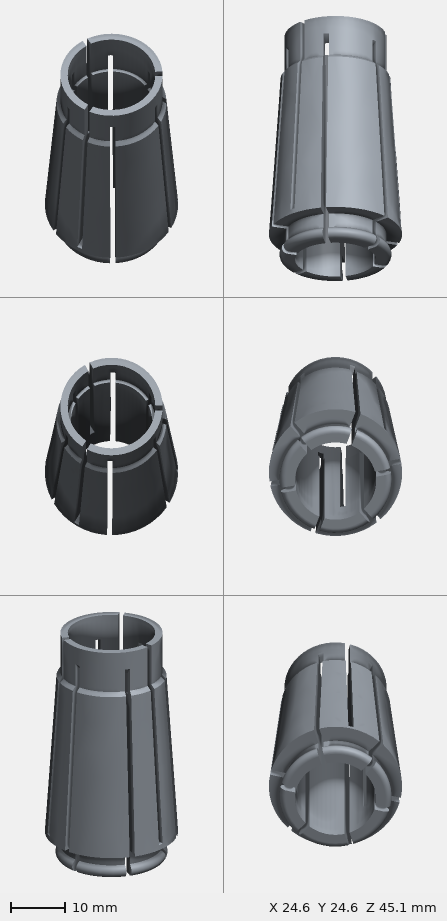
import cadquery as cq
import math

LENGTH = 45.1
NECK_RADIUS = 9.43
FLARE_DIAMETER = 24.6
FLARE_RADIUS = FLARE_DIAMETER / 2
FLARE_BOTTOM_Z = 5.05
SHOULDER_RADIUS = 10.15
SHOULDER_BOTTOM_Z = 36.55
SHOULDER_TOP_Z = 37.25

RING_RADIUS = 10.35
RING_ROUND = 1.1
RING_BLEND_ANGLE = 50.0
RING_TOP_Z = 2.35

BORE_RADIUS = 7.5
UPPER_BORE_RADIUS = 8.07
BORE_STEP_Z = 36.05

SLOT_WIDTH = 1.0
SAW_RADIUS = 15.35
UPWARD_SLOT_END_Z = 41.63
UPWARD_SAW_CENTER_RADIUS = 19.57
UPWARD_SLOT_ANGLES = (-150, -90, -30, 30, 90, 150)
DOWNWARD_SLOT_END_Z = 6.0
DOWNWARD_SAW_CENTER_RADIUS = 14.45
DOWNWARD_SLOT_ANGLES = (-60, 60, 180)
CLEARANCE = 0.9


def ring_point(angle_degrees):
    """Point (radius, z) on the rounded outside of the snap ring."""
    angle = math.radians(angle_degrees)
    radius = RING_RADIUS - RING_ROUND + RING_ROUND * math.cos(angle)
    return radius, RING_ROUND + RING_ROUND * math.sin(angle)


def make_sleeve():
    """Tapered sleeve with a collar, a snap ring and a stepped bore."""
    return (
        cq.Workplane("XZ")
        .moveTo(BORE_RADIUS, 0)
        .lineTo(*ring_point(-90))
        .threePointArc(ring_point(0), ring_point(RING_BLEND_ANGLE))
        .lineTo(NECK_RADIUS, RING_TOP_Z)
        .lineTo(NECK_RADIUS, FLARE_BOTTOM_Z)
        .lineTo(FLARE_RADIUS, FLARE_BOTTOM_Z)
        .lineTo(SHOULDER_RADIUS, SHOULDER_BOTTOM_Z)
        .lineTo(NECK_RADIUS, SHOULDER_TOP_Z)
        .lineTo(NECK_RADIUS, LENGTH)
        .lineTo(UPPER_BORE_RADIUS, LENGTH)
        .lineTo(UPPER_BORE_RADIUS, BORE_STEP_Z)
        .lineTo(BORE_RADIUS, BORE_STEP_Z)
        .close()
        .revolve(360, (0, 0, 0), (0, 1, 0))
    )


def make_slot(open_z, end_z, end_radius, saw_center_radius):
    """Slot cutter along +X, open at open_z; its curved end is at end_z where the radius is end_radius."""
    direction = math.copysign(1, end_z - open_z)

    def saw_rise(radius):
        return math.sqrt(SAW_RADIUS**2 - (saw_center_radius - radius) ** 2)

    def end_point(radius):
        return radius, end_z + direction * (saw_rise(radius) - saw_rise(end_radius))

    inner = BORE_RADIUS - CLEARANCE
    outer = FLARE_RADIUS + CLEARANCE
    start_z = open_z - direction * CLEARANCE
    return (
        cq.Workplane("XZ")
        .moveTo(inner, start_z)
        .lineTo(*end_point(inner))
        .threePointArc(end_point((inner + outer) / 2), end_point(outer))
        .lineTo(outer, start_z)
        .close()
        .extrude(SLOT_WIDTH / 2, both=True)
    )


def cut_slots(body, slot, angles):
    """Cut one copy of the slot at each angle about Z."""
    for angle in angles:
        body = body.cut(slot.rotate((0, 0, 0), (0, 0, 1), angle))
    return body


upward_slot = make_slot(0, UPWARD_SLOT_END_Z, NECK_RADIUS, UPWARD_SAW_CENTER_RADIUS)
downward_slot = make_slot(LENGTH, DOWNWARD_SLOT_END_Z, FLARE_RADIUS, DOWNWARD_SAW_CENTER_RADIUS)

result = make_sleeve()
result = cut_slots(result, upward_slot, UPWARD_SLOT_ANGLES)
result = cut_slots(result, downward_slot, DOWNWARD_SLOT_ANGLES)